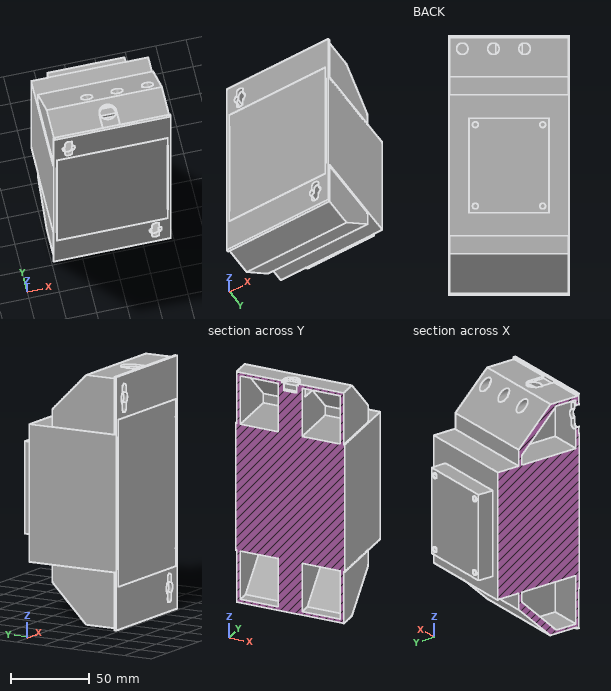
import cadquery as cq

plate_width = 77.0
plate_height = 166.0
plate_thickness = 1.7

label_width = 72.7
label_height = 109.5
label_thickness = 0.2

groove_width = 0.3
groove_height = 86.3
groove_depth = 0.5

body_height = 90.3
body_back = 64.7
block_base_width = 51.5
block_back_width = 50.8
block_height = 60.6
block_back = 75.9

foot_diameter = 3.7
foot_height = 0.5
foot_spacing_x = 43.2
foot_spacing_z = 52.1

hood_margin = 0.7
hood_top = 81.8
hood_back = 48.1
hood_flat_back = 22.9
slope_run = hood_back - hood_flat_back
hood_wall = 2.8
slope_wall_along_y = 7.6
core_width = 17.3

keyhole_depth = hood_wall
keyhole_x = 28.5
keyhole_z = 67.5
keyhole_diameter = 8.1
keyhole_slot_width = 4.8
keyhole_slot_length = 18.8

cable_hole_diameter = 7.3
cable_hole_first_x = -10.0
cable_hole_pitch = 20.0
cable_hole_count = 3
cable_hole_y = 30.0
cable_hole_z = hood_top - (cable_hole_y - hood_flat_back)

recess_width = 11.3
recess_depth = 1.3
recess_center_y = 12.6
opening_diameter = 10.3
opening_center_y = 13.3
shelf_front_y = 12.5
shelf_depth = 2.7
ledge_front_y = 17.3
opening_depth = 6.6


def box(width, height, front, back):
    """Block centred on X and Z that spans from front to back along Y."""
    size_y = back - front
    return cq.Workplane("XY").box(width, size_y, height).translate((0, (front + back) / 2, 0))


def make_label():
    return box(label_width, label_height, -label_thickness, 0)


def make_label_grooves():
    outer = box(label_width + 2 * groove_width, groove_height, 0, groove_depth)
    return outer.cut(box(label_width, groove_height, 0, groove_depth))


def make_block():
    outline = [
        (-block_base_width / 2, body_back),
        (block_base_width / 2, body_back),
        (block_back_width / 2, block_back),
        (-block_back_width / 2, block_back),
    ]
    return cq.Workplane("XY").polyline(outline).close().extrude(block_height / 2, both=True)


def make_feet():
    return (
        cq.Workplane("XZ", origin=(0, block_back, 0))
        .rect(foot_spacing_x, foot_spacing_z, forConstruction=True)
        .vertices()
        .circle(foot_diameter / 2)
        .extrude(-foot_height)
    )


def extrude_side_profile(points, width):
    """Extrude a (Y, Z) outline symmetrically along X."""
    return cq.Workplane("YZ").polyline(points).close().extrude(width / 2, both=True)


def make_upper_hood():
    hood_width = plate_width - 2 * hood_margin
    hood_base = body_height / 2
    outside = [
        (plate_thickness, hood_base),
        (plate_thickness, hood_top),
        (hood_flat_back, hood_top),
        (hood_back, hood_top - slope_run),
        (hood_back, hood_base),
    ]
    ceiling = hood_top - hood_wall
    cavity_back = hood_back - hood_wall
    slope_line = hood_top + hood_flat_back - slope_wall_along_y
    inside = [
        (hood_wall, hood_base),
        (hood_wall, ceiling),
        (slope_line - ceiling, ceiling),
        (cavity_back, slope_line - cavity_back),
        (cavity_back, hood_base),
    ]
    shell = extrude_side_profile(outside, hood_width)
    cavity = extrude_side_profile(inside, hood_width - 2 * hood_wall)
    core = extrude_side_profile(outside, core_width)
    return shell.cut(cavity.cut(core))


def make_cable_holes():
    centers = [
        (cable_hole_first_x + i * cable_hole_pitch, cable_hole_z)
        for i in range(cable_hole_count)
    ]
    hole_start_y = cable_hole_y - slope_wall_along_y - cable_hole_diameter
    return (
        cq.Workplane("XZ", origin=(0, hole_start_y, 0))
        .pushPoints(centers)
        .circle(cable_hole_diameter / 2)
        .extrude(hole_start_y - hood_back)
    )


def make_opening_step(front_y, depth):
    """Block that fills the back of the opening up to the given depth below the hood top."""
    return (
        cq.Workplane("XY", origin=(0, front_y + opening_diameter / 2, hood_top - opening_depth))
        .rect(opening_diameter, opening_diameter)
        .extrude(opening_depth - depth)
    )


def make_top_recess():
    floor = cq.Workplane("XY", origin=(0, 0, hood_top - recess_depth))
    channel_length = recess_center_y - plate_thickness
    channel = (
        floor.center(0, plate_thickness + channel_length / 2)
        .rect(recess_width, channel_length)
        .extrude(recess_depth)
    )
    round_end = floor.center(0, recess_center_y).circle(recess_width / 2).extrude(recess_depth)
    opening = (
        cq.Workplane("XY", origin=(0, opening_center_y, hood_top))
        .circle(opening_diameter / 2)
        .extrude(-opening_depth)
    )
    shelf = make_opening_step(shelf_front_y, shelf_depth)
    ledge = make_opening_step(ledge_front_y, recess_depth)
    opening = opening.cut(shelf).cut(ledge)
    return channel.union(round_end).union(opening)


def make_keyhole(x, z):
    sketch = cq.Workplane("XZ", origin=(x, 0, z))
    slot = sketch.slot2D(keyhole_slot_length, keyhole_slot_width, 90).extrude(-keyhole_depth)
    return slot.union(sketch.circle(keyhole_diameter / 2).extrude(-keyhole_depth))


hood = make_upper_hood()
result = (
    box(plate_width, plate_height, 0, plate_thickness)
    .union(box(plate_width, body_height, 0, body_back))
    .union(make_label())
    .union(make_block())
    .union(make_feet())
    .union(hood)
    .union(hood.mirror("XY"))
    .cut(make_cable_holes())
    .cut(make_label_grooves())
    .cut(make_top_recess())
    .cut(make_keyhole(-keyhole_x, keyhole_z))
    .cut(make_keyhole(keyhole_x, -keyhole_z))
)